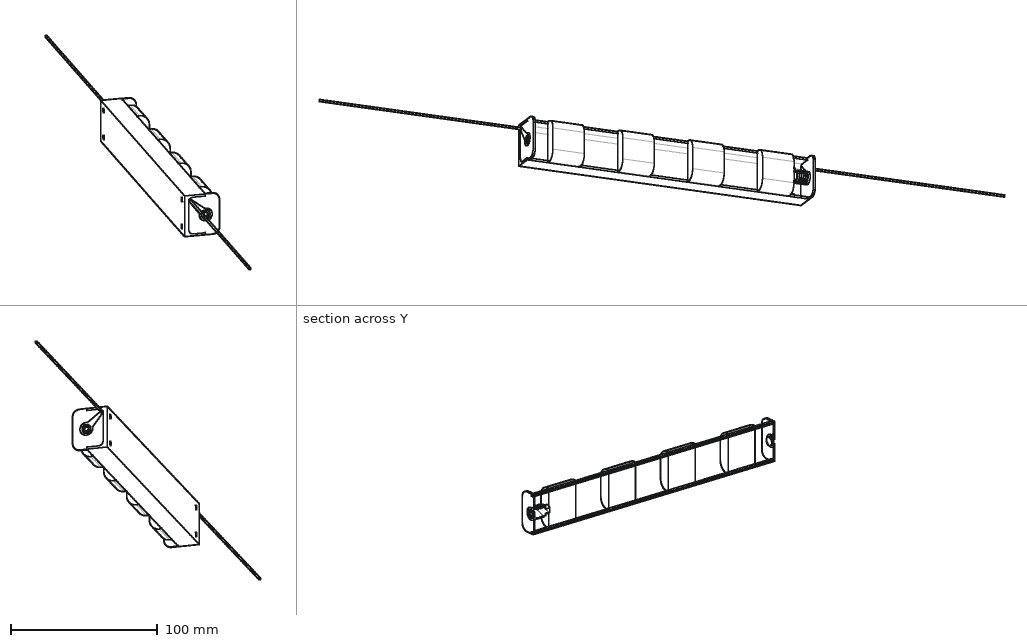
import cadquery as cq
import math

total_length = 509.0
height = 29.5
depth = 25.0
front_y = -depth / 2
back_y = depth / 2

housing_length = 210.0
channel_depth = 15.0
base_thickness = 3.0
flange_thickness = 1.5
hole_diameter = 3.0
hole_x = 98.0
hole_z = 9.5
bend_radius = 3.0
floor_y = front_y + base_thickness
rim_y = front_y + channel_depth
inner_height = height - 2 * flange_thickness

cap_thickness = 1.5
cap_corner = 5.0

lens_count = 4
lens_pitch = 52.0
lens_length = 23.5
lens_edge_radius = 7.0
lens_top_y = 11.0

grommet_radius = 4.5
web_radius = 3.0
grommet_y = 2.5
tip_radius = 1.0
tip_y = -8.0
tip_z = 10.5
wire_diameter = 1.5
wire_y = floor_y + wire_diameter / 2
wire_z = 11.0
nose_radius = 3.0
rib_count = 3
rib_length = 1.5
neck_radius = 4.0
left_nose_length = 3.5
right_nose_length = 1.5
socket_radius = 3.0
pin_radius = 1.5
socket_depth = 1.0


def box_between(x0, x1, y0, y1, z0, z1):
    """Box given by its limits along each axis."""
    return cq.Workplane("XY").box(x1 - x0, y1 - y0, z1 - z0, centered=False).translate((x0, y0, z0))


def x_cylinder(radius, x0, x1, y, z):
    """Cylinder along X between x0 and x1."""
    return cq.Workplane("YZ", origin=(x0, y, z)).circle(radius).extrude(x1 - x0)


def make_housing():
    """U-shaped channel, open at the back and at both ends, with four fixing holes."""
    half = housing_length / 2
    channel = box_between(-half, half, front_y, rim_y, -height / 2, height / 2)
    cavity = box_between(-half, half, floor_y, rim_y, -inner_height / 2, inner_height / 2)
    cavity = cavity.edges("|X and <Y").fillet(bend_radius)
    holes = (
        cq.Workplane("XZ", origin=(0, floor_y, 0))
        .rect(2 * hole_x, 2 * hole_z, forConstruction=True)
        .vertices()
        .circle(hole_diameter / 2)
        .extrude(base_thickness)
    )
    return channel.cut(cavity).cut(holes)


def teardrop(x0, x1):
    """Prism along X: a round disc with a tapering web that ends in a small round tip."""
    offset_y = tip_y - grommet_y
    direction = math.atan2(tip_z, offset_y)
    spread = math.acos((web_radius - tip_radius) / math.hypot(offset_y, tip_z))

    def on_web(angle):
        return grommet_y + web_radius * math.cos(angle), web_radius * math.sin(angle)

    def on_tip(angle):
        return tip_y + tip_radius * math.cos(angle), tip_z + tip_radius * math.sin(angle)

    web = (
        cq.Workplane("YZ", origin=(x0, 0, 0))
        .moveTo(*on_web(direction + spread))
        .threePointArc(on_web(direction + math.pi), on_web(direction - spread))
        .lineTo(*on_tip(direction - spread))
        .threePointArc(on_tip(direction), on_tip(direction + spread))
        .close()
        .extrude(x1 - x0)
    )
    return x_cylinder(grommet_radius, x0, x1, grommet_y, 0).union(web)


def make_cap(outer_x, inner_x):
    """End plate: a tongue between the flanges and a full-height head behind their rims."""
    x0, x1 = sorted((outer_x, inner_x))
    tongue = box_between(x0, x1, floor_y, back_y, -inner_height / 2, inner_height / 2)
    tongue = tongue.edges("|X and <Y").fillet(bend_radius)
    head = box_between(x0, x1, rim_y, back_y, -height / 2, height / 2)
    head = head.edges("|X and >Y").fillet(cap_corner)
    tongue = tongue.intersect(box_between(x0, x1, floor_y, rim_y, -height / 2, height / 2))
    plate = head.union(tongue)
    return plate.cut(teardrop(x0, x1))


def make_cable(outer_x, inner_x, end_x, plug_steps):
    """Grommet with its wire outside and the plug steps (radius, length) inside."""
    inward = math.copysign(1, inner_x - outer_x)
    cable = teardrop(*sorted((outer_x, inner_x)))
    cable = cable.union(x_cylinder(wire_diameter / 2, outer_x, end_x, wire_y, wire_z))
    step_x = inner_x
    for radius, length in plug_steps:
        cable = cable.union(x_cylinder(radius, step_x, step_x + inward * length, grommet_y, 0))
        step_x += inward * length
    socket_x = outer_x + inward * socket_depth
    socket = x_cylinder(socket_radius, outer_x, socket_x, grommet_y, 0)
    pin = x_cylinder(pin_radius, outer_x, socket_x, grommet_y, 0)
    return cable.cut(socket.cut(pin))


def make_lens(center_x):
    """Lens block resting on the rims of both flanges, with its two long back edges rounded."""
    x0 = center_x - lens_length / 2
    bar = box_between(x0, x0 + lens_length, rim_y, lens_top_y, -height / 2, height / 2)
    return bar.edges("|X and >Y").fillet(lens_edge_radius)


cap_outer_x = housing_length / 2
cap_inner_x = cap_outer_x - cap_thickness
ribs = [(grommet_radius, rib_length), (neck_radius, rib_length)] * rib_count
left_plug = ribs + [(nose_radius, left_nose_length)]
right_plug = [(nose_radius, right_nose_length)]

housing = make_housing()
left_cap = make_cap(-cap_outer_x, -cap_inner_x)
right_cap = make_cap(cap_outer_x, cap_inner_x)
left_cable = make_cable(-cap_outer_x, -cap_inner_x, -total_length / 2, left_plug)
right_cable = make_cable(cap_outer_x, cap_inner_x, total_length / 2, right_plug)
lenses = [make_lens((i - (lens_count - 1) / 2) * lens_pitch) for i in range(lens_count)]

result = cq.Compound.makeCompound(
    [housing.val(), left_cap.val(), right_cap.val(), left_cable.val(), right_cable.val()]
    + [lens.val() for lens in lenses]
)